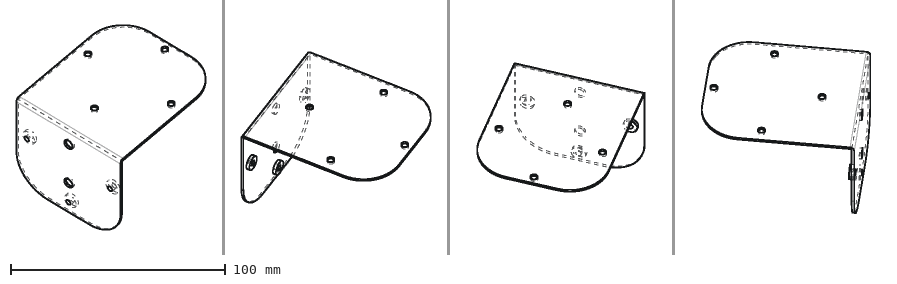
import cadquery as cq

width = 63.5
depth = 73.66
height = 54.29

thickness = 1.22
outer_bend_radius = 2.0
corner_radius = 19.05

pattern_radius = 25.4

shelf_hole_diameter = 3.4
shelf_hole_edge_distance = 4.06
shelf_pattern_y = depth - shelf_hole_edge_distance - pattern_radius

nut_edge_distance = 6.35
nut_bore_diameter = 2.7
nut_diameter = 7.14
nut_projection = 1.58
wall_pattern_z = -height + nut_edge_distance + pattern_radius

wall_hole_diameter = 5.1
wall_hole_offset = pattern_radius / 2

shelf_hole_points = [
    (-pattern_radius, shelf_pattern_y),
    (pattern_radius, shelf_pattern_y),
    (0, shelf_pattern_y - pattern_radius),
    (0, shelf_pattern_y + pattern_radius),
]
nut_points = [
    (-pattern_radius, wall_pattern_z),
    (pattern_radius, wall_pattern_z),
    (0, wall_pattern_z - pattern_radius),
]
wall_hole_points = [
    (0, wall_pattern_z - wall_hole_offset),
    (0, wall_pattern_z + wall_hole_offset),
]


def wall_cylinders(points, diameter, length):
    """Cylinders running in +Y from the outer face of the wall, at (X, Z) points."""
    return cq.Workplane("XZ").pushPoints(points).circle(diameter / 2).extrude(-length)


def make_bent_sheet():
    """L-shaped sheet: bend rounded outside and sharp inside, free ends with rounded corners."""
    sheet = (
        cq.Workplane("YZ")
        .polyline([
            (0, 0),
            (depth, 0),
            (depth, -thickness),
            (thickness, -thickness),
            (thickness, -height),
            (0, -height),
        ])
        .close()
        .extrude(width / 2, both=True)
    )
    outer_bend_edge = cq.selectors.NearestToPointSelector((0, 0, 0))
    sheet = sheet.edges("|X").edges(outer_bend_edge).fillet(outer_bend_radius)
    sheet = sheet.faces(">Y").edges("|Z").fillet(corner_radius)
    return sheet.faces("<Z").edges("|Y").fillet(corner_radius)


def add_nuts(bracket):
    """Round nuts standing on the inner face of the wall, bored right through."""
    nut_length = thickness + nut_projection
    bracket = bracket.union(wall_cylinders(nut_points, nut_diameter, nut_length))
    return bracket.cut(wall_cylinders(nut_points, nut_bore_diameter, nut_length))


def cut_shelf_holes(bracket):
    """Four mounting holes through the horizontal shelf."""
    holes = (
        cq.Workplane("XY")
        .pushPoints(shelf_hole_points)
        .circle(shelf_hole_diameter / 2)
        .extrude(-thickness)
    )
    return bracket.cut(holes)


def cut_wall_holes(bracket):
    """Two large holes on the centre line of the wall."""
    return bracket.cut(wall_cylinders(wall_hole_points, wall_hole_diameter, thickness))


bracket = make_bent_sheet()
bracket = add_nuts(bracket)
bracket = cut_shelf_holes(bracket)
result = cut_wall_holes(bracket)